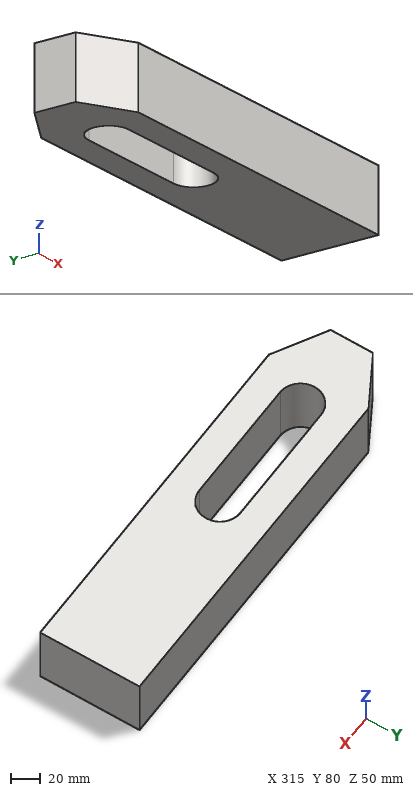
import cadquery as cq
import math

length = 315.0
width = 80.0
height = 50.0

nose_width = 34.0
taper_angle = math.radians(30)
taper_length = (width - nose_width) / 2 / math.tan(taper_angle)

slot_start = 45.0
slot_length = 130.0
slot_width = 33.0

nose_x = -length / 2
shoulder_x = nose_x + taper_length
slot_center_x = nose_x + slot_start + slot_length / 2

body = (
    cq.Workplane("XY")
    .moveTo(nose_x, -nose_width / 2)
    .lineTo(shoulder_x, -width / 2)
    .lineTo(length / 2, -width / 2)
    .lineTo(length / 2, width / 2)
    .lineTo(shoulder_x, width / 2)
    .lineTo(nose_x, nose_width / 2)
    .close()
    .extrude(height)
)

slot = (
    cq.Workplane("XY")
    .center(slot_center_x, 0)
    .slot2D(slot_length, slot_width)
    .extrude(height)
)

result = body.cut(slot)